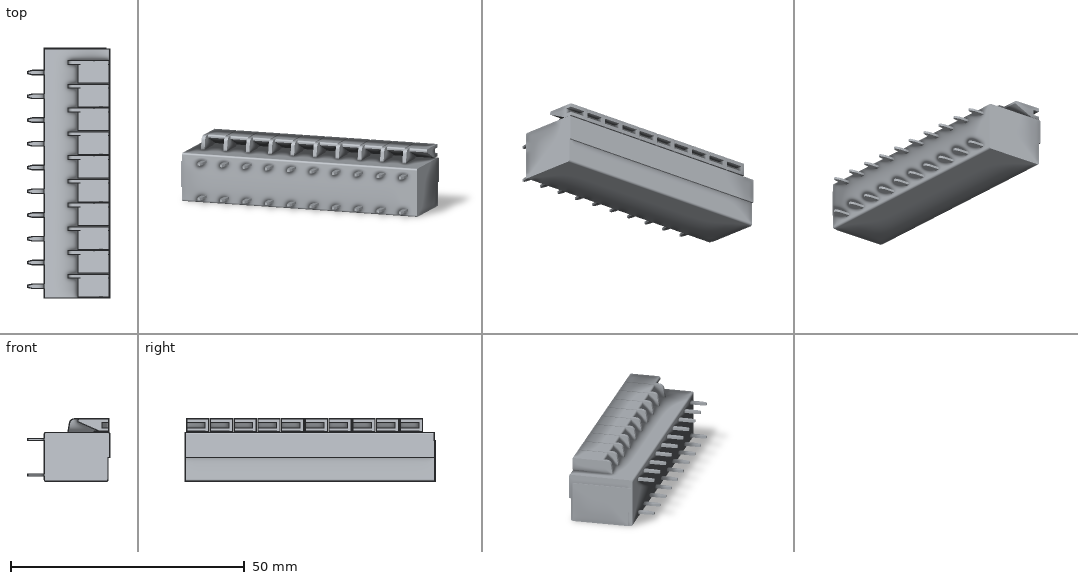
import cadquery as cq

body_depth = 14.05
body_length = 53.3
body_height = 10.5
edge_radius = 0.4
step_depth = 0.4
step_height = 5.1

pad_thickness = 0.2
pad_top = 8.7
pad_shoulder = 3.1
pad_setback = 1.0

pole_count = 10
pole_pitch = 5.08

lever_start = 0.28
lever_width = 4.8
lever_rise = 2.9
lever_top = body_height + lever_rise
lever_end = 13.85
lever_gap = 0.2
lever_foot_end = 10.7

arm_width = 0.82
arm_front = 5.05
arm_lean = 0.5
arm_radius = 1.05

paddle_front = 7.25
paddle_radius = 0.38
paddle_lip = 0.65
paddle_heel = 11.9

notch_depth = 1.5
notch_floor = 11.45
notch_height = 1.15

pin_length = 3.55
pin_width = 1.0
pin_thickness = 0.5
pin_tip_width = 0.5
pin_tip_length = 1.05
pin_start = 2.53
pin_embed = 1.0
pin_heights = (1.38, 8.96)


def extrude_along_y(profile, start, width):
    """Extrude a closed XZ profile from y = start towards +Y."""
    return profile.extrude(-width).translate((0, start, 0))


def make_body():
    step_face = body_depth - step_depth
    profile = (
        cq.Workplane("XZ")
        .polyline([
            (0, 0),
            (step_face, 0),
            (step_face, step_height),
            (body_depth, step_height),
            (body_depth, body_height),
            (0, body_height),
        ])
        .close()
    )
    body = extrude_along_y(profile, 0, body_length)
    long_edges = body.edges("|Y and (<Z or >Z)")
    return long_edges.fillet(edge_radius)


def make_end_pad():
    pad_end = body_depth - step_depth - edge_radius
    profile = (
        cq.Workplane("XZ")
        .polyline([
            (0, pad_top),
            (0, pad_shoulder),
            (pad_setback, pad_shoulder),
            (pad_setback, 0),
            (pad_end, 0),
            (pad_end, pad_top),
        ])
        .close()
    )
    return extrude_along_y(profile, body_length, pad_thickness)


def make_lever():
    """One lever with its lower side face at y = 0."""
    underside = body_height + lever_gap
    arm_profile = (
        cq.Workplane("XZ")
        .polyline([
            (arm_front, body_height),
            (lever_foot_end, body_height),
            (lever_foot_end, underside),
            (lever_end, underside),
            (lever_end, lever_top),
            (arm_front + arm_lean, lever_top),
        ])
        .close()
    )
    arm = extrude_along_y(arm_profile, lever_width - arm_width, arm_width)
    arm = arm.faces(">Z").edges("<X").fillet(arm_radius)

    paddle_profile = (
        cq.Workplane("XZ")
        .moveTo(paddle_front, lever_top - paddle_lip)
        .lineTo(paddle_heel, underside)
        .lineTo(lever_end, underside)
        .lineTo(lever_end, lever_top)
        .lineTo(paddle_front + paddle_radius, lever_top)
        .radiusArc((paddle_front, lever_top - paddle_radius), -paddle_radius)
        .close()
    )
    paddle = extrude_along_y(paddle_profile, 0, lever_width)

    notch = (
        cq.Workplane("XY")
        .box(notch_depth, lever_width - arm_width, notch_height, centered=False)
        .translate((lever_end - notch_depth, 0, notch_floor))
    )
    return arm.union(paddle).cut(notch)


def make_pin():
    """One pin pointing towards -X, centred on y = 0 and z = 0."""
    half_width = pin_width / 2
    half_tip = pin_tip_width / 2
    shoulder = pin_tip_length - pin_length
    return (
        cq.Workplane("XY")
        .polyline([
            (pin_embed, -half_width),
            (pin_embed, half_width),
            (shoulder, half_width),
            (-pin_length, half_tip),
            (-pin_length, -half_tip),
            (shoulder, -half_width),
        ])
        .close()
        .extrude(pin_thickness / 2, both=True)
    )


result = make_body().union(make_end_pad())
lever = make_lever()
pin = make_pin()
for pole in range(pole_count):
    offset = pole * pole_pitch
    result = result.union(lever.translate((0, lever_start + offset, 0)))
    for height in pin_heights:
        result = result.union(pin.translate((0, pin_start + offset, height)))